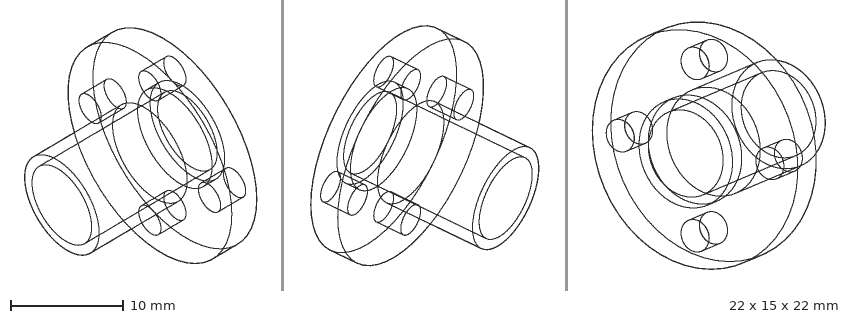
import cadquery as cq

flange_diameter = 22.0
flange_thickness = 3.0

tube_diameter = 10.0
bore_diameter = 8.0
tube_length = 15.0
rear_spigot_length = 1.5

hole_count = 4
hole_diameter = 3.0
bolt_circle_radius = 8.0

flange_back = tube_length - rear_spigot_length
flange_front = flange_back - flange_thickness


def cylinder_along_y(diameter, start, length):
    """Solid cylinder on the Y axis, growing toward +Y from start."""
    plane = cq.Workplane("XZ", origin=(0, start, 0))
    return plane.circle(diameter / 2).extrude(-length)


def drilled_flange():
    """Round flange with evenly spaced through holes on its bolt circle."""
    holes = (
        cq.Workplane("XZ", origin=(0, flange_front, 0))
        .polarArray(bolt_circle_radius, 0, 360, hole_count)
        .circle(hole_diameter / 2)
        .extrude(-flange_thickness)
    )
    return cylinder_along_y(flange_diameter, flange_front, flange_thickness).cut(holes)


tube = cylinder_along_y(tube_diameter, 0, tube_length)
bore = cylinder_along_y(bore_diameter, 0, tube_length)
result = drilled_flange().union(tube).cut(bore)